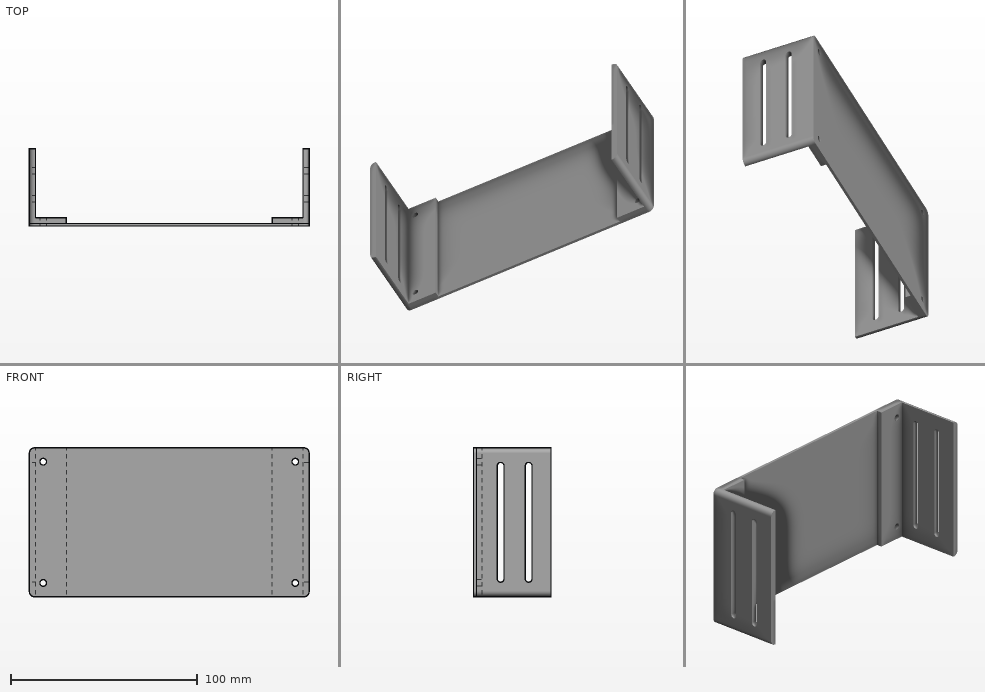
import cadquery as cq

LENGTH = 150.0
DEPTH = 41.5
HEIGHT = 80.0

PLATE_THICKNESS = 1.5
WALL_THICKNESS = 3.5
FLANGE_THICKNESS = 3.0
FLANGE_LENGTH = 20.0
CORNER_RADIUS = 3.0

HOLE_DIAMETER = 3.5
HOLE_INSET = 7.5
HOLE_X = LENGTH / 2 - HOLE_INSET
HOLE_Z = HEIGHT / 2 - HOLE_INSET

SLOT_WIDTH = 3.5
SLOT_LENGTH = 64.0
SLOT_SPACING = 15.0
REAR_SLOT_INSET = 12.0

REAR_SLOT_Y = DEPTH - REAR_SLOT_INSET
SLOT_POSITIONS_Y = [REAR_SLOT_Y - SLOT_SPACING, REAR_SLOT_Y]


def box_between(x_start, x_end, y_start, y_end):
    """Full-height box, centred on Z = 0."""
    return cq.Workplane("XY").box(
        x_end - x_start, y_end - y_start, HEIGHT, centered=(False, False, True)
    ).translate((x_start, y_start, 0))


def screw_holes():
    """Cutters for the four screw holes, running along Y."""
    return (
        cq.Workplane("XZ")
        .rect(2 * HOLE_X, 2 * HOLE_Z, forConstruction=True)
        .vertices()
        .circle(HOLE_DIAMETER / 2)
        .extrude(-DEPTH)
    )


def wall_slots():
    """Cutters for the slots, running along X through both side walls."""
    return (
        cq.Workplane("YZ")
        .pushPoints([(y, 0) for y in SLOT_POSITIONS_Y])
        .slot2D(SLOT_LENGTH, SLOT_WIDTH, angle=90)
        .extrude(LENGTH / 2, both=True)
    )


def make_plate():
    """Thin front plate with rounded corners and four screw holes."""
    plate = box_between(-LENGTH / 2, LENGTH / 2, 0, PLATE_THICKNESS)
    return plate.edges("|Y").fillet(CORNER_RADIUS).cut(screw_holes())


def make_bracket(side):
    """L-shaped bracket at the left (side = -1) or right (side = 1) end of the plate."""
    left = -LENGTH / 2
    wall = box_between(left, left + WALL_THICKNESS, PLATE_THICKNESS, DEPTH)
    flange = box_between(
        left, left + FLANGE_LENGTH, PLATE_THICKNESS, PLATE_THICKNESS + FLANGE_THICKNESS
    )
    bracket = wall.union(flange)
    bracket = bracket.faces("<X").edges("|Y").fillet(CORNER_RADIUS)
    bracket = bracket.cut(screw_holes()).cut(wall_slots())
    return bracket if side < 0 else bracket.mirror("YZ")


plate = make_plate()
brackets = [make_bracket(side) for side in (-1, 1)]

result = cq.Compound.makeCompound([plate.val(), *[bracket.val() for bracket in brackets]])